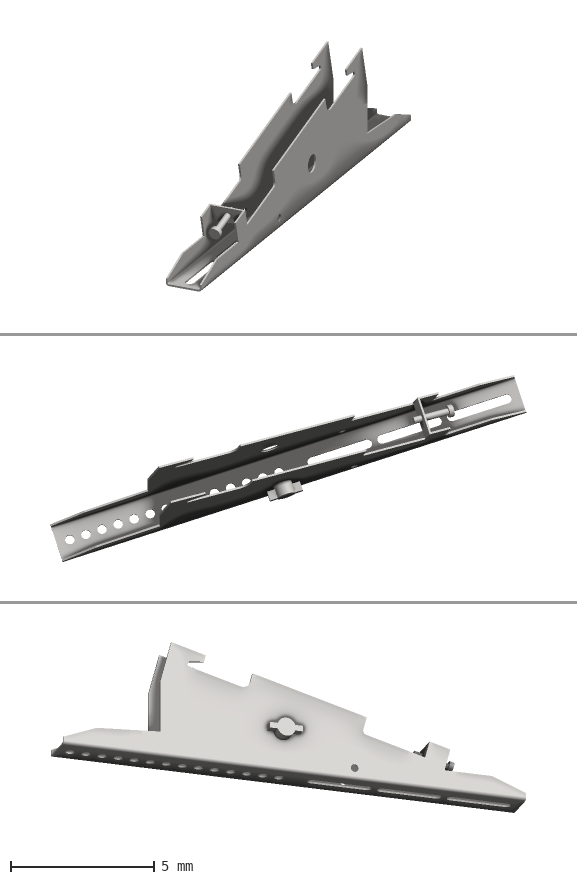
import cadquery as cq
import math

LENGTH = 17.0
HEIGHT = 4.3
WIDTH = 1.38
SHEET = 0.07
BEND_INNER_RADIUS = 0.05
BEND_OUTER_RADIUS = BEND_INNER_RADIUS + SHEET

END_LIP_HEIGHT = 0.27
LIP_HEIGHT = 0.75
BACK_RAMP_Y = 7.28
FRONT_RAMP_Y = -7.25
BACK_EDGE_Y = 4.94
BACK_LIP_HEIGHT = 0.9

SLOPE_DEGREES = 15.0
HOOK_CORNER_Y = 4.53
HOOK_TIP_ALONG = 1.31
HOOK_TIP_DEPTH = 0.26
HOOK_ROOT_ALONG = 0.77
HOOK_ROOT_DEPTH = 0.47
HOOK_ROOT_RADIUS = 0.07
SEAT_DEPTH = 0.64
PAD_START = 3.09
PAD_END = 7.43
SEAT_FRONT_RADIUS = 0.3
PAD_FOOT_RADIUS = 0.15
TAB_START = 9.82
TAB_END = 10.61

FLOOR_HOLE_DIAMETER = 0.33
FLOOR_HOLE_COUNT = 14
FLOOR_HOLE_PITCH = 0.59
FLOOR_HOLE_FIRST_Y = 8.02
SLOT_COUNT = 3
SLOT_LENGTH = 2.35
SLOT_PITCH = 2.56
SLOT_LAST_Y = -7.0

CROSS_HOLE_DIAMETER = 0.28
CROSS_HOLE_Y = -2.2
CROSS_HOLE_Z = 0.42

KNOB_Y = 0.455
KNOB_Z = 1.47
KNOB_REACH = 0.46
KNOB_RADIUS = 0.335
WING_SPAN = 1.2
WING_HEIGHT = 0.21
WING_THICKNESS = 0.33
KNOB_HOLE_DIAMETER = 2 * KNOB_RADIUS

SCREW_DEPTH = 0.34
SCREW_RADIUS = 0.12
SCREW_START = 9.53
SCREW_HEAD_RADIUS = 0.22
SCREW_HEAD_START = 10.83
SCREW_END = 11.0

SLOPE_SIN = math.sin(math.radians(SLOPE_DEGREES))
SLOPE_COS = math.cos(math.radians(SLOPE_DEGREES))


def on_slope(along, depth):
    """(Y, Z) of a point given in the tilted frame of the wall tops."""
    y = HOOK_CORNER_Y - along * SLOPE_COS + depth * SLOPE_SIN
    z = HEIGHT - along * SLOPE_SIN - depth * SLOPE_COS
    return (y, z)


def slope_plane(along, depth):
    """Plane square to the slope, its normal pointing down the slope."""
    y, z = on_slope(along, depth)
    return cq.Plane(
        origin=(0, y, z),
        xDir=(0, -SLOPE_SIN, SLOPE_COS),
        normal=(0, -SLOPE_COS, -SLOPE_SIN),
    )


def across_width():
    """Side-profile workplane on the outer face of the -X wall (local axes Y, Z)."""
    return cq.Workplane("YZ", origin=(-WIDTH / 2, 0, 0))


def side_profile():
    """Side outline of the channel as a prism across the full width."""
    back_edge_depth = (BACK_EDGE_Y - HOOK_CORNER_Y) / SLOPE_SIN
    tab_foot_depth = (HEIGHT - LIP_HEIGHT - TAB_END * SLOPE_SIN) / SLOPE_COS
    hook_root = on_slope(HOOK_ROOT_ALONG, HOOK_ROOT_DEPTH)
    seat_back = on_slope(HOOK_ROOT_ALONG, SEAT_DEPTH)
    seat_front = on_slope(PAD_START, SEAT_DEPTH)
    pad_foot = on_slope(PAD_END, SEAT_DEPTH)
    points = [
        (LENGTH / 2, 0),
        (LENGTH / 2, END_LIP_HEIGHT),
        (BACK_RAMP_Y, LIP_HEIGHT),
        (BACK_EDGE_Y, BACK_LIP_HEIGHT),
        on_slope(0, back_edge_depth),
        on_slope(0, 0),
        on_slope(HOOK_TIP_ALONG, 0),
        on_slope(HOOK_TIP_ALONG, HOOK_TIP_DEPTH),
        hook_root,
        seat_back,
        seat_front,
        on_slope(PAD_START, 0),
        on_slope(PAD_END, 0),
        pad_foot,
        on_slope(TAB_START, SEAT_DEPTH),
        on_slope(TAB_START, 0),
        on_slope(TAB_END, 0),
        on_slope(TAB_END, tab_foot_depth),
        (FRONT_RAMP_Y, LIP_HEIGHT),
        (-LENGTH / 2, END_LIP_HEIGHT),
        (-LENGTH / 2, 0),
    ]
    profile = across_width().polyline(points).close().extrude(WIDTH)
    rounded_corners = [
        (hook_root, HOOK_ROOT_RADIUS),
        (seat_back, HOOK_ROOT_RADIUS),
        (seat_front, SEAT_FRONT_RADIUS),
        (pad_foot, PAD_FOOT_RADIUS),
    ]
    for (y, z), radius in rounded_corners:
        profile = profile.edges("|X").edges(cq.NearestToPointSelector((0, y, z))).fillet(radius)
    return profile


def bent_channel():
    """U-section with rounded bends, running the full length along Y."""
    outer = cq.Workplane("XY").box(WIDTH, LENGTH, HEIGHT, centered=(True, True, False))
    outer = outer.edges("|Y and <Z").fillet(BEND_OUTER_RADIUS)
    inner = cq.Workplane("XY", origin=(0, 0, SHEET)).box(
        WIDTH - 2 * SHEET, LENGTH, HEIGHT, centered=(True, True, False)
    )
    inner = inner.edges("|Y and <Z").fillet(BEND_INNER_RADIUS)
    return outer.cut(inner)


def floor_openings():
    """Row of round holes followed by a row of slots along the centre line."""
    hole_points = [(0, FLOOR_HOLE_FIRST_Y - i * FLOOR_HOLE_PITCH) for i in range(FLOOR_HOLE_COUNT)]
    slot_points = [(0, SLOT_LAST_Y + i * SLOT_PITCH) for i in range(SLOT_COUNT)]
    holes = cq.Workplane("XY").pushPoints(hole_points).circle(FLOOR_HOLE_DIAMETER / 2).extrude(SHEET)
    slots = cq.Workplane("XY").pushPoints(slot_points).slot2D(SLOT_LENGTH, FLOOR_HOLE_DIAMETER, 90)
    return holes.union(slots.extrude(SHEET))


def wall_holes():
    """Small hole through both walls and the knob hole through the +X wall."""
    cross_hole = across_width().center(CROSS_HOLE_Y, CROSS_HOLE_Z).circle(CROSS_HOLE_DIAMETER / 2)
    knob_hole = cq.Workplane("YZ").center(KNOB_Y, KNOB_Z).circle(KNOB_HOLE_DIAMETER / 2)
    return cross_hole.extrude(WIDTH).union(knob_hole.extrude(WIDTH / 2))


def cross_plate():
    """Plate joining the two walls along the upper edge of the tabs."""
    plate = cq.Workplane(slope_plane(TAB_START, SEAT_DEPTH / 2))
    return plate.rect(SEAT_DEPTH, WIDTH).extrude(SHEET)


def screw():
    """Headed screw through the cross plate."""
    shank = cq.Workplane(slope_plane(SCREW_START, SCREW_DEPTH)).circle(SCREW_RADIUS)
    head = cq.Workplane(slope_plane(SCREW_HEAD_START, SCREW_DEPTH)).circle(SCREW_HEAD_RADIUS)
    return shank.extrude(SCREW_END - SCREW_START).union(head.extrude(SCREW_END - SCREW_HEAD_START))


def wing_knob():
    """Round knob with a flat wing to each side, standing on the -X wall."""
    wall_plane = cq.Plane(origin=(-WIDTH / 2, KNOB_Y, KNOB_Z), xDir=(0, 0, 1), normal=(-1, 0, 0))
    body = cq.Workplane(wall_plane).circle(KNOB_RADIUS).extrude(KNOB_REACH)
    wings = cq.Workplane(wall_plane).workplane(offset=KNOB_REACH - WING_THICKNESS)
    wings = wings.rect(WING_HEIGHT, WING_SPAN).extrude(WING_THICKNESS)
    return body.union(wings)


channel = bent_channel().intersect(side_profile())
channel = channel.cut(floor_openings()).cut(wall_holes())
result = channel.union(cross_plate()).union(screw()).union(wing_knob())